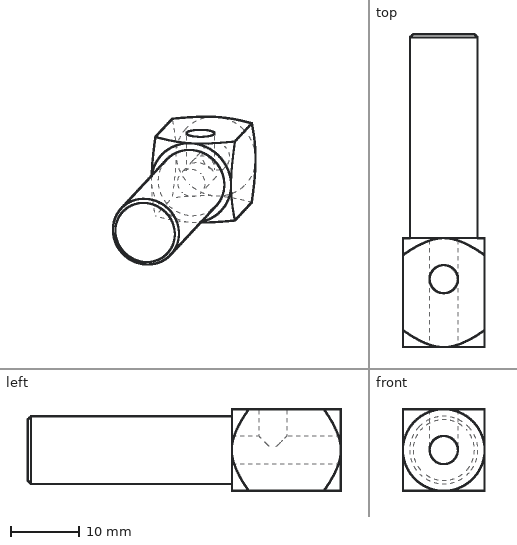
import cadquery as cq

total_length = 46.0
head_width = 12.0
head_length = 16.0
shank_diameter = 10.0
shank_chamfer = 0.5
bore_diameter = 4.15
port_position = 10.0

shank_length = total_length - head_length


def cylinder_along_y(diameter, start, length):
    """Cylinder on the Y axis, running from start toward +Y."""
    plane = cq.Workplane("XZ", origin=(0, start, 0))
    return plane.circle(diameter / 2).extrude(-length)


def corner_cutting_envelope():
    """Turned envelope with 45 degree cones that trim the head's corners.

    At each end the cone starts from the circle inscribed in the square.
    """
    end_radius = head_width / 2
    cone_length = head_length / 2
    middle_radius = end_radius + cone_length
    return (
        cq.Workplane("XY")
        .moveTo(0, 0)
        .lineTo(end_radius, 0)
        .lineTo(middle_radius, cone_length)
        .lineTo(end_radius, head_length)
        .lineTo(0, head_length)
        .close()
        .revolve(360, (0, 0, 0), (0, 1, 0))
    )


def make_head():
    """Square head with an axial bore, met by a port from the top face."""
    block = cq.Workplane("XZ").rect(head_width, head_width).extrude(-head_length)
    trimmed_block = block.intersect(corner_cutting_envelope())
    bore = cylinder_along_y(bore_diameter, 0, head_length)
    port = (
        cq.Workplane("XY", origin=(0, port_position, 0))
        .circle(bore_diameter / 2)
        .extrude(head_width / 2)
    )
    return trimmed_block.cut(bore).cut(port)


def make_shank():
    """Round shank seated on the back of the head, closing the bore."""
    shank = cylinder_along_y(shank_diameter, head_length, shank_length)
    return shank.faces(">Y").chamfer(shank_chamfer)


head = make_head()
shank = make_shank()

result = cq.Compound.makeCompound([head.solids().val(), shank.solids().val()])